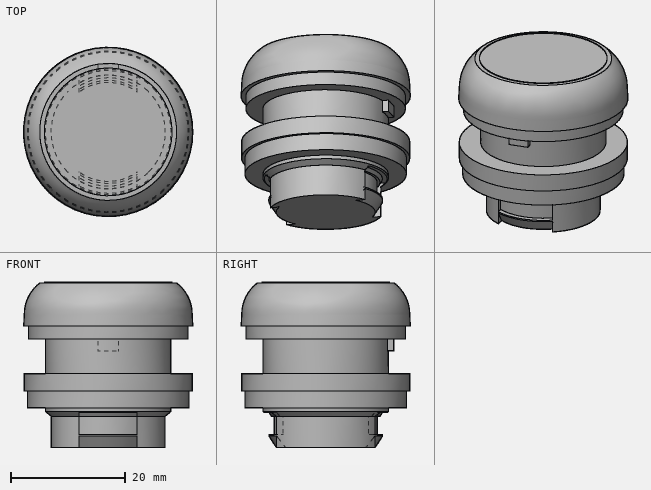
import cadquery as cq

catch_tip_bottom = 2.05
catch_top = 2.3
spigot_top = 5.45
recess_top = 6.12
cone_top = 6.33
nut_bottom = 6.98
flange_bottom = 9.92
flange_top = 12.98
tab_bottom = 16.95
collar_bottom = 19.0
skirt_bottom = 21.3
dome_bottom = 23.25
dome_top = 28.87
total_height = 29.0

spigot_radius = 20.0 / 2
neck_radius = 22.0 / 2
nut_radius = 28.33 / 2
flange_radius = 29.5 / 2
collar_radius = 28.0 / 2
skirt_radius = 29.7 / 2
dome_base_radius = 29.5 / 2
dome_top_radius = 24.0 / 2
dome_arc_radius = 6.95
cap_disc_radius = 22.4 / 2

catch_width = 10.15
catch_bottom_radius = 8.67
recess_radius = 9.03
recess_cone_bottom_radius = 9.5
recess_cone_top_radius = 9.95

tab_width = 3.55
tab_reach = 11.95


def ring_cutter(profile):
    """Turn an (r, z) outline around Z and keep the strip of the catch width."""
    ring = cq.Workplane("XZ").polyline(profile).close().revolve(360, (0, 0), (0, 1))
    strip = cq.Workplane("XY").box(
        catch_width, 2 * skirt_radius, total_height, centered=(True, True, False)
    )
    return ring.intersect(strip)


body = (
    cq.Workplane("XZ")
    .moveTo(0, 0)
    .lineTo(spigot_radius, 0)
    .lineTo(spigot_radius, spigot_top)
    .lineTo(neck_radius, cone_top)
    .lineTo(neck_radius, nut_bottom)
    .lineTo(nut_radius, nut_bottom)
    .lineTo(nut_radius, flange_bottom)
    .lineTo(flange_radius, flange_bottom)
    .lineTo(flange_radius, flange_top)
    .lineTo(neck_radius, flange_top)
    .lineTo(neck_radius, collar_bottom)
    .lineTo(collar_radius, collar_bottom)
    .lineTo(collar_radius, skirt_bottom)
    .lineTo(skirt_radius, skirt_bottom)
    .lineTo(dome_base_radius, dome_bottom)
    .radiusArc((dome_top_radius, dome_top), -dome_arc_radius)
    .lineTo(cap_disc_radius, dome_top)
    .lineTo(cap_disc_radius, total_height)
    .lineTo(0, total_height)
    .close()
    .revolve(360, (0, 0), (0, 1))
)

recess = ring_cutter([
    (recess_radius, catch_top),
    (recess_radius, spigot_top),
    (recess_cone_bottom_radius, spigot_top),
    (recess_cone_top_radius, recess_top),
    (neck_radius, recess_top),
    (neck_radius, catch_top),
])

lead_in = ring_cutter([
    (catch_bottom_radius, 0),
    (spigot_radius, catch_tip_bottom),
    (neck_radius, catch_tip_bottom),
    (neck_radius, 0),
])

tab = (
    cq.Workplane("XY")
    .workplane(offset=tab_bottom)
    .rect(tab_width, tab_reach)
    .extrude(collar_bottom - tab_bottom)
    .translate((0, tab_reach / 2, 0))
)

result = body.cut(recess).cut(lead_in).union(tab)